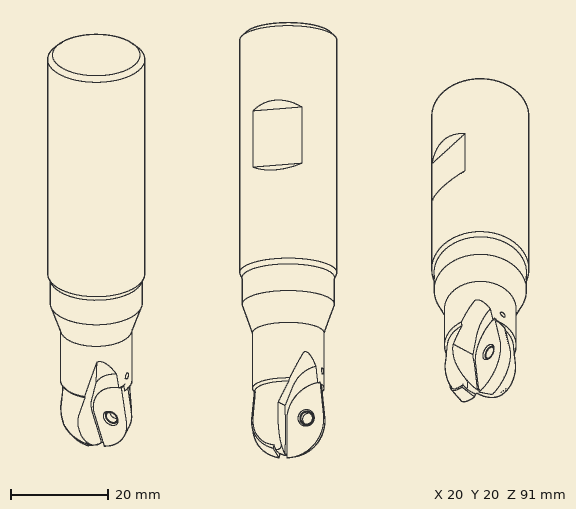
import cadquery as cq
import math

total_length = 91.0
shank_dia = 20.0
shank_bottom = 39.9
shank_chamfer = 1.0
collar_dia = 19.0
collar_top = 38.85
collar_bottom = 33.1
neck_dia = 14.7
neck_top = 26.9
neck_bottom = 15.0
step_height = 0.55
nose_top_radius = 6.8
nose_radius = 7.3
nose_center_z = 8.2
crown_radius = 6.8
crown_z = 5.5
crown_mid_radius = 5.4
crown_mid_z = 3.3
nose_bottom = 0.8

flat_y = 8.55
flat_bottom = 60.5
flat_top = 72.6

coolant_dia = 1.3
coolant_y = 0.2
coolant_z = 18.1
coolant_depth = 1.8

insert_radius = 7.9
insert_thickness = 3.2
insert_relief = 10.0
insert_lean = 9.0
face_y = 1.4
insert_inner_x = 0.2
insert_inner_top = 1.1
insert_arc_x = 2.5
insert_arc_below_top = 2.2
insert_top_x = 7.5
long_insert_top = 8.7
short_insert_top = 7.3
long_insert_tip_x = 2.0
short_insert_tip_x = -0.3

screw_x = 4.2
screw_rise = 0.1
seat_dia = 3.5
seat_bottom_dia = 2.9
seat_depth = 0.4
socket_dia = 2.5
socket_depth = 1.8

flute_gap = 0.4
flute_reach = 12.7
wall_bend_bottom = 0.7
wall_bend_top = 3.0
wall_bend_bulge = 0.1
long_flute_wall_x = 1.5
short_flute_wall_x = 1.7
flute_arc_x = 3.8
flute_runout_x = 6.7
flute_wall_below_top = 0.3
flute_arc_above_top = 2.2
flute_runout_above_top = 3.4
runout_steepness = 0.32
runout_length = 21.8

clearance_point = (-2.7, -2.8, 2.4)
clearance_slope_x = 0.44
clearance_slope_y = 0.65
clearance_size = 27.3

lean = math.radians(insert_lean)
ball_center_z = insert_radius * math.cos(lean)


def half_turn(shape):
    """Turn a shape half a revolution about the holder axis."""
    return shape.rotate((0, 0, 0), (0, 0, 1), 180)


def face_plane():
    """Plane of the insert face on the -Y side, with its origin at the ball centre."""
    normal = (0, -math.cos(lean), -math.sin(lean))
    return cq.Plane(origin=(0, -face_y, ball_center_z), xDir=(1, 0, 0), normal=normal)


def insert_blank(tip_x, top):
    """Insert plate without its screw seat, on the +X side of the -Y face plane."""
    tip_v = -math.sqrt(insert_radius**2 - tip_x**2)
    arc_turn = -math.pi / 4
    return (
        cq.Workplane(face_plane())
        .moveTo(tip_x, tip_v)
        .threePointArc(
            (insert_radius * math.cos(arc_turn), insert_radius * math.sin(arc_turn)),
            (insert_radius, 0),
        )
        .lineTo(insert_top_x, top)
        .threePointArc((insert_arc_x, top - insert_arc_below_top), (insert_inner_x, insert_inner_top))
        .close()
        .extrude(-insert_thickness, taper=insert_relief)
    )


def make_insert(tip_x, top):
    """Insert with a countersunk screw seat and a blind socket."""
    seat = (
        cq.Workplane(face_plane())
        .center(screw_x, screw_rise)
        .circle(seat_dia / 2)
        .workplane(offset=-seat_depth)
        .circle(seat_bottom_dia / 2)
        .loft(ruled=True)
    )
    socket = (
        cq.Workplane(face_plane())
        .center(screw_x, screw_rise)
        .circle(socket_dia / 2)
        .extrude(-socket_depth)
    )
    return insert_blank(tip_x, top).cut(seat).cut(socket)


def flute(tip_x, top, wall_top_x):
    """Chip space in front of an insert: a straight cut off the face plus a slanting run-out."""
    plane = face_plane()
    foot_x = insert_inner_x - flute_gap
    tip = cq.Vector(tip_x - flute_gap, -insert_radius)
    bend_middle = (foot_x - wall_bend_bulge, (wall_bend_bottom + wall_bend_top) / 2)
    wall_foot = cq.Vector(foot_x, wall_bend_top)
    wall_top = cq.Vector(wall_top_x, top - flute_wall_below_top)
    wall_direction = (wall_top - wall_foot).normalized()
    runout_middle = (flute_arc_x, top + flute_arc_above_top)
    runout_end = (flute_runout_x, top + flute_runout_above_top)

    straight = (
        cq.Workplane(plane)
        .moveTo(tip.x, -flute_reach)
        .lineTo(tip.x, tip.y)
        .lineTo(foot_x, wall_bend_bottom)
        .threePointArc(bend_middle, (foot_x, wall_bend_top))
        .lineTo(wall_top.x, wall_top.y)
        .threePointArc(runout_middle, runout_end)
        .lineTo(flute_reach, runout_end[1])
        .lineTo(flute_reach, -flute_reach)
        .close()
        .extrude(flute_reach)
    )

    low_wall = wall_top - wall_direction * runout_length
    runout_profile = (
        cq.Workplane(plane)
        .moveTo(low_wall.x, low_wall.y)
        .lineTo(wall_top.x, wall_top.y)
        .threePointArc(runout_middle, runout_end)
        .lineTo(flute_reach, runout_end[1])
        .lineTo(flute_reach, low_wall.y)
        .close()
        .wire()
        .val()
    )
    wall_rise = plane.xDir * wall_direction.x + plane.yDir * wall_direction.y
    slant = wall_rise + plane.zDir * runout_steepness
    runout = cq.Workplane(cq.Solid.extrudeLinear(runout_profile, [], slant * runout_length))
    above_bend = (
        cq.Workplane(plane)
        .center(0, wall_bend_top + runout_length)
        .rect(2 * flute_reach, 2 * runout_length)
        .extrude(flute_reach)
    )
    return straight.union(runout.intersect(above_bend))


def nose_clearance():
    """Block below the sloping plane that bares the back of the insert on the -X side."""
    plane = cq.Plane(
        origin=clearance_point,
        xDir=(1, 0, -clearance_slope_x),
        normal=(-clearance_slope_x, -clearance_slope_y, -1),
    )
    return cq.Workplane(plane).rect(clearance_size, clearance_size).extrude(clearance_size)


def clamping_flat():
    """Flat with 45 degree ends across the shank."""
    rise = shank_dia / 2 - flat_y
    return (
        cq.Workplane("YZ")
        .moveTo(flat_y, flat_bottom)
        .lineTo(flat_y + rise, flat_bottom - rise)
        .lineTo(flat_y + rise, flat_top + rise)
        .lineTo(flat_y, flat_top)
        .close()
        .extrude(shank_dia / 2, both=True)
    )


def coolant_outlet():
    """Blind radial hole in the -X side of the neck."""
    return (
        cq.Workplane("YZ", origin=(-neck_dia / 2, coolant_y, coolant_z))
        .circle(coolant_dia / 2)
        .extrude(coolant_depth)
    )


def turned_holder():
    """Shank, collar, neck and ball nose turned about the Z axis."""
    nose_mid_z = (nose_center_z + crown_z) / 2
    nose_mid_radius = math.sqrt(nose_radius**2 - (nose_center_z - nose_mid_z) ** 2)
    return (
        cq.Workplane("XZ")
        .moveTo(0, nose_bottom)
        .threePointArc((crown_mid_radius, crown_mid_z), (crown_radius, crown_z))
        .threePointArc((nose_mid_radius, nose_mid_z), (nose_radius, nose_center_z))
        .lineTo(nose_top_radius, neck_bottom - step_height)
        .lineTo(neck_dia / 2, neck_bottom)
        .lineTo(neck_dia / 2, neck_top)
        .lineTo(collar_dia / 2, collar_bottom)
        .lineTo(collar_dia / 2, collar_top)
        .lineTo(shank_dia / 2, shank_bottom)
        .lineTo(shank_dia / 2, total_length - shank_chamfer)
        .lineTo(shank_dia / 2 - shank_chamfer, total_length)
        .lineTo(0, total_length)
        .close()
        .revolve(360, (0, 0, 0), (0, 1, 0))
    )


long_insert = make_insert(long_insert_tip_x, long_insert_top)
short_insert = half_turn(make_insert(short_insert_tip_x, short_insert_top))

holder = turned_holder().cut(clamping_flat())
for side_cut in (nose_clearance(), coolant_outlet()):
    holder = holder.cut(side_cut).cut(half_turn(side_cut))

holder = holder.cut(flute(long_insert_tip_x, long_insert_top, long_flute_wall_x))
holder = holder.cut(half_turn(flute(short_insert_tip_x, short_insert_top, short_flute_wall_x)))

holder = holder.cut(insert_blank(long_insert_tip_x, long_insert_top))
holder = holder.cut(half_turn(insert_blank(short_insert_tip_x, short_insert_top)))

result = cq.Compound.makeCompound([holder.val(), long_insert.val(), short_insert.val()])